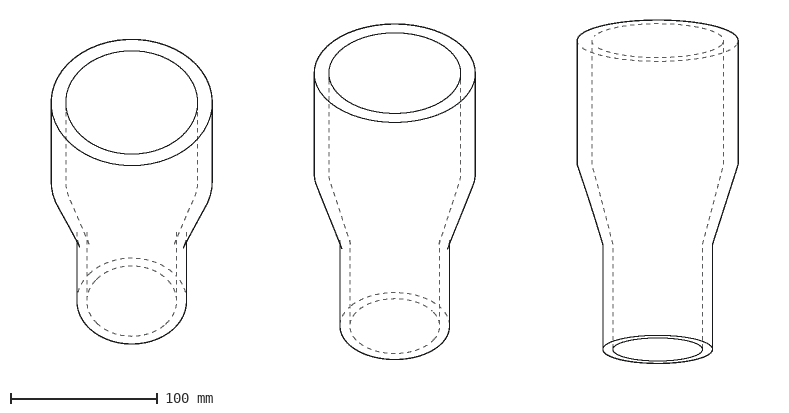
import cadquery as cq

total_height = 218.0
wide_outer_diameter = 110.0
wide_bore_diameter = 90.0
narrow_outer_diameter = 75.0
narrow_bore_diameter = 61.3
narrow_length = 74.5
taper_length = 56.7

taper_top = narrow_length + taper_length


def stepped_taper(narrow_diameter, wide_diameter):
    """Solid of a narrow cylinder, a cone and a wide cylinder stacked along Z."""
    narrow_radius = narrow_diameter / 2
    wide_radius = wide_diameter / 2
    profile = (
        cq.Workplane("XZ")
        .moveTo(0, 0)
        .lineTo(narrow_radius, 0)
        .lineTo(narrow_radius, narrow_length)
        .lineTo(wide_radius, taper_top)
        .lineTo(wide_radius, total_height)
        .lineTo(0, total_height)
        .close()
    )
    return profile.revolve(360, (0, 0, 0), (0, 1, 0))


body = stepped_taper(narrow_outer_diameter, wide_outer_diameter)
bore = stepped_taper(narrow_bore_diameter, wide_bore_diameter)
result = body.cut(bore)